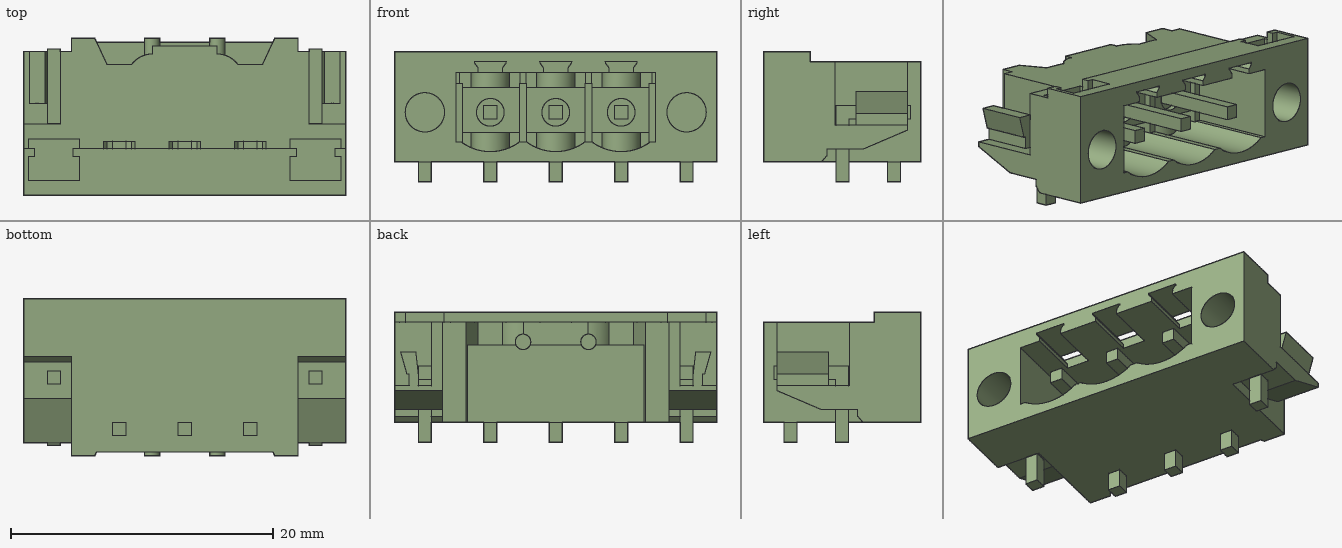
import cadquery as cq
import math


LENGTH = 24.6
DEPTH = 12.0
HEIGHT = 8.41
PITCH = 5.0
POLES = 3
WIRE = 1.0
LEG_LENGTH = 1.53

contact_xs = [PITCH * (i - (POLES - 1) / 2) for i in range(POLES)]
rib_xs = [PITCH * (i - (POLES - 2) / 2) for i in range(POLES - 1)]
flange_x = PITCH * (POLES + 1) / 2
core_half = flange_x - WIRE / 2
axis_z = 3.8

roof_z = 7.65
front_step_y = 3.57
ear_half = 8.65
side_rear_y = 11.0

recess_y = 5.44
shelf_top = 2.8
shelf_tip_bottom = 2.44
shelf_bottom = 0.98
slope_start_y = 7.6
foot_rear_y = 4.82
foot_chamfer_y = 0.42
foot_chamfer_z = 0.47

ear_inner_half = 6.86
ear_root_half = 5.93
bay_y = 9.99
guard_half = 2.45
guard_y = 10.8
guard_radius = 2.0
tongue_y = 11.41
bay_floor = 5.9
rear_wall_y = 11.7
knob_radius = 0.6
knob_z = 6.15
knob_root = 0.25

cavity_half = 7.63
cavity_bottom = 1.53
cavity_top = 6.81
scallop_bottom = 0.79
scallop_radius = 3.71
rib_front_y = 7.0
rib_top_front_y = 7.25
block_front_y = 7.5
cavity_rear_y = 9.0
rib_width = 0.55
rib_top_width = 0.45
side_rib_width = 0.5
side_rib_top_width = 0.3
rib_step_z = 5.98
post_radius = 1.48
block_bottom = 2.26
block_top = 5.68
clearance_radius = 1.05
clearance_depth = 0.5

slot_half = 1.2
slot_neck_half = 0.93
slot_lip_z = 7.55
slot_neck_z = 7.18
slot_end_y = 4.13

flange_hole_radius = 1.5
nut_front_y = 1.13
nut_rear_y = 4.3
nut_half = 1.95
nut_floor = 5.54
tab_width = 0.47
tab_front_y = 2.98

hook_front_y = 7.04
hook_top = 5.36
hook_lip_z = 3.71
hook_tip_half = 11.83
hook_lip_half = 11.37
hook_stem_half = 11.2
hook_top_inner_half = 10.68
hook_inner_half = flange_x + WIRE / 2

contact_tip_y = 0.9
contact_rear_y = 10.45
solder_front_y = 5.5
solder_rear_y = 11.2


def block(x0, x1, y0, y1, z0, z1):
    """Box between two corners."""
    return cq.Workplane("XY").box(x1 - x0, y1 - y0, z1 - z0, centered=False).translate((x0, y0, z0))


def rod(x, z, radius, y0, y1):
    """Cylinder along Y."""
    return cq.Workplane("XZ", origin=(x, y0, z)).circle(radius).extrude(y0 - y1)


def with_mirror(body):
    """The body together with its image across X = 0."""
    return body.union(body.mirror("YZ"))


def housing_core():
    """Solid middle of the housing with its rear ears, side shoulders and raised front."""
    core = block(-ear_half, ear_half, 0, DEPTH, 0, roof_z)
    core = core.union(block(-core_half, core_half, 0, side_rear_y, shelf_top, roof_z))
    return core.union(block(-core_half, core_half, 0, front_step_y, 0, HEIGHT))


def flange():
    """Side flange with a shelf along its rear and a relief below the shelf."""
    outline = [
        (0, 0),
        (foot_rear_y - foot_chamfer_y, 0),
        (foot_rear_y, foot_chamfer_z),
        (foot_rear_y, shelf_bottom),
        (slope_start_y, shelf_bottom),
        (side_rear_y, shelf_tip_bottom),
        (side_rear_y, shelf_top),
        (recess_y, shelf_top),
        (recess_y, roof_z),
        (front_step_y, roof_z),
        (front_step_y, HEIGHT),
        (0, HEIGHT),
    ]
    plate = cq.Workplane("YZ", origin=(ear_half, 0, 0)).polyline(outline).close()
    return plate.extrude(LENGTH / 2 - ear_half)


def snap_hook():
    """Upright hook with an undercut outward lip."""
    outline = [
        (hook_inner_half, shelf_top),
        (hook_stem_half, shelf_top),
        (hook_stem_half, hook_lip_z),
        (hook_lip_half, hook_lip_z),
        (hook_tip_half, hook_top),
        (hook_top_inner_half, hook_top),
        (hook_inner_half, hook_lip_z),
    ]
    hook = cq.Workplane("XZ", origin=(0, hook_front_y, 0)).polyline(outline).close()
    return hook.extrude(hook_front_y - side_rear_y)


def rear_bay():
    """Space between the ears, above the bay floor and behind the lower rear wall."""
    guard_center_y = guard_y - guard_radius
    start = math.asin((bay_y - guard_center_y) / guard_radius)
    middle = (start + math.pi / 2) / 2
    guard_middle = (
        guard_half + guard_radius * math.cos(middle),
        guard_center_y + guard_radius * math.sin(middle),
    )
    guard_start_half = guard_half + guard_radius * math.cos(start)
    upper = (
        cq.Workplane("XY", origin=(0, 0, bay_floor))
        .moveTo(0, DEPTH)
        .lineTo(ear_inner_half, DEPTH)
        .lineTo(ear_root_half, bay_y)
        .lineTo(guard_start_half, bay_y)
        .threePointArc(guard_middle, (guard_half, guard_y))
        .lineTo(guard_half, tongue_y)
        .lineTo(0, tongue_y)
        .close()
        .extrude(roof_z - bay_floor)
    )
    ear_slope = (ear_inner_half - ear_root_half) / (DEPTH - bay_y)
    wall_half = ear_inner_half - ear_slope * (DEPTH - rear_wall_y)
    lower = (
        cq.Workplane("XY")
        .polyline([(0, DEPTH), (ear_inner_half, DEPTH), (wall_half, rear_wall_y), (0, rear_wall_y)])
        .close()
        .extrude(bay_floor)
    )
    return with_mirror(upper.union(lower))


def cavity_section(y0, y1):
    """Cavity cross-section: a rectangle with one scalloped floor per contact."""
    section = block(-cavity_half, cavity_half, y0, y1, cavity_bottom, cavity_top)
    for x in contact_xs:
        scallop = rod(x, scallop_bottom + scallop_radius, scallop_radius, y0, y1)
        lower_part = block(x - PITCH / 2, x + PITCH / 2, y0, y1, 0, axis_z)
        section = section.union(scallop.intersect(lower_part))
    return section


def dividers():
    """Ribs between the contacts and at the cavity ends, narrower and set back at the top."""
    ribs = cq.Workplane("XY")
    levels = [
        (0, rib_step_z, rib_front_y, rib_width, side_rib_width),
        (rib_step_z, cavity_top, rib_top_front_y, rib_top_width, side_rib_top_width),
    ]
    for z0, z1, front_y, width, side_width in levels:
        for x in rib_xs:
            ribs = ribs.union(block(x - width / 2, x + width / 2, front_y, cavity_rear_y, z0, z1))
        side = block(cavity_half - side_width, cavity_half, front_y, cavity_rear_y, z0, z1)
        ribs = ribs.union(with_mirror(side))
    return ribs


def contact_supports():
    """Round post and flat-faced block around each contact, with a round clearance at the contact."""
    supports = cq.Workplane("XY")
    first_edge = cavity_half - side_rib_width
    edges = [-first_edge, *rib_xs, first_edge]
    for x, left, right in zip(contact_xs, edges, edges[1:]):
        post = cq.Workplane("XY", origin=(x, cavity_rear_y, 0)).circle(post_radius).extrude(cavity_top)
        holder = block(left, right, block_front_y, cavity_rear_y, block_bottom, block_top)
        clearance = rod(x, axis_z, clearance_radius, block_front_y, block_front_y + clearance_depth)
        supports = supports.union(post.union(holder).cut(clearance))
    return supports


def mating_cavity():
    """Cavity volume left free around the ribs and the contact supports."""
    cavity = cavity_section(0, cavity_rear_y)
    return cavity.cut(dividers()).cut(contact_supports())


def coding_slot(x):
    """Dovetail groove opening into the cavity ceiling."""
    right_side = [
        (slot_neck_half, cavity_top),
        (slot_neck_half, slot_neck_z),
        (slot_half, slot_lip_z),
        (slot_half, roof_z),
    ]
    left_side = [(-half, z) for half, z in reversed(right_side)]
    groove = cq.Workplane("XZ", origin=(x, 0, 0)).polyline(right_side + left_side).close()
    return groove.extrude(-slot_end_y)


def nut_pocket():
    """Pocket open at the top, narrowed by two tabs at the front step."""
    left = flange_x - nut_half
    right = flange_x + nut_half
    pocket = block(left, right, nut_front_y, nut_rear_y, nut_floor, HEIGHT)
    for x in (left, right - tab_width):
        pocket = pocket.cut(block(x, x + tab_width, tab_front_y, front_step_y, nut_floor, HEIGHT))
    return pocket


def contact_pin(x):
    """Contact bar with a leg bent down at the rear."""
    left = x - WIRE / 2
    right = x + WIRE / 2
    bar = block(left, right, contact_tip_y, contact_rear_y, axis_z - WIRE / 2, axis_z + WIRE / 2)
    leg = block(left, right, contact_rear_y - WIRE, contact_rear_y, -LEG_LENGTH, axis_z + WIRE / 2)
    return bar.union(leg)


def solder_pin(x):
    """Bar lying in the side recess with a leg through the shelf at the front."""
    left = x - WIRE / 2
    right = x + WIRE / 2
    bar = block(left, right, solder_front_y, solder_rear_y, axis_z - WIRE / 2, axis_z + WIRE / 2)
    leg = block(left, right, solder_front_y, solder_front_y + WIRE, -LEG_LENGTH, axis_z + WIRE / 2)
    return bar.union(leg)


def make_housing(pins):
    """Moulded housing with a matching passage for every pin."""
    housing = housing_core().cut(rear_bay())
    housing = housing.union(with_mirror(flange().union(snap_hook())))
    for x in rib_xs:
        housing = housing.union(rod(x, knob_z, knob_radius, guard_y - knob_root, DEPTH))
    housing = housing.cut(mating_cavity())
    for x in contact_xs:
        housing = housing.cut(coding_slot(x))
    housing = housing.cut(with_mirror(nut_pocket()))
    housing = housing.cut(with_mirror(rod(flange_x, axis_z, flange_hole_radius, 0, nut_rear_y)))
    for pin in pins:
        housing = housing.cut(pin)
    return housing


contact_pins = [contact_pin(x) for x in contact_xs]
solder_pins = [solder_pin(x) for x in (-flange_x, flange_x)]
housing = make_housing(contact_pins + solder_pins)

result = cq.Compound.makeCompound(
    [housing.val()] + [pin.val() for pin in contact_pins + solder_pins]
)